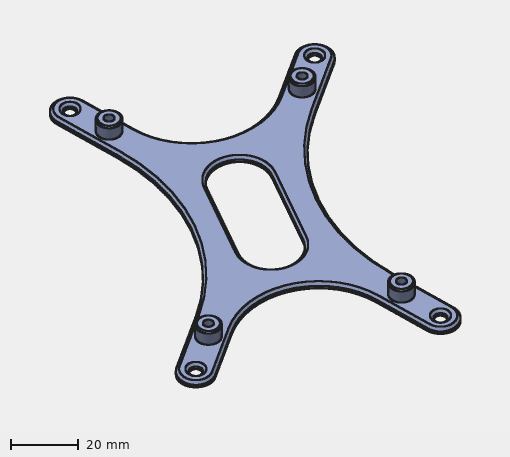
import cadquery as cq
import math

length = 132.4
width = 88.0
height = 7.0

plate_thickness = 2.0
edge_chamfer = plate_thickness / 2
arm_radius = 6.0
long_side_radius = 70.0
short_side_radius = 26.6

window_length = 50.0
window_width = 20.1

mount_hole_diameter = 4.2
mount_x = length / 2 - arm_radius
mount_y = width / 2 - arm_radius

standoff_diameter = 8.0
standoff_hole_diameter = 3.2
standoff_chamfer = 0.5
standoff_x = 47.5
standoff_y = standoff_x * mount_y / mount_x

arm_angle = math.atan2(mount_y, mount_x)


def four_corners(x, y):
    """Points mirrored about both the X and Y axes."""
    return [(sx * x, sy * y) for sx in (-1, 1) for sy in (-1, 1)]


def plate_outline():
    """Closed X-shaped outline whose arms point from the centre to the mounting holes."""
    cos_arm, sin_arm = math.cos(arm_angle), math.sin(arm_angle)

    long_center = (long_side_radius + arm_radius) / cos_arm
    short_center = (short_side_radius + arm_radius) / sin_arm

    short_tangent = (short_center - short_side_radius * sin_arm, short_side_radius * cos_arm)
    tip_start = (mount_x + arm_radius * sin_arm, mount_y - arm_radius * cos_arm)
    tip = (mount_x + arm_radius * cos_arm, mount_y + arm_radius * sin_arm)
    tip_end = (mount_x - arm_radius * sin_arm, mount_y + arm_radius * cos_arm)
    long_tangent = (long_side_radius * sin_arm, long_center - long_side_radius * cos_arm)
    arm = [short_tangent, tip_start, tip, tip_end, long_tangent]

    long_waist = long_center - long_side_radius
    short_waist = short_center - short_side_radius

    outline = cq.Workplane("XY").moveTo(*short_tangent)
    for sx, sy in [(1, 1), (-1, 1), (-1, -1), (1, -1)]:
        points = [(sx * x, sy * y) for x, y in arm]
        if sx * sy < 0:
            points.reverse()
        _, edge_start, arm_tip, edge_end, next_tangent = points
        outline = outline.lineTo(*edge_start).threePointArc(arm_tip, edge_end).lineTo(*next_tangent)
        if sx * sy > 0:
            outline = outline.threePointArc((0, sy * long_waist), (-next_tangent[0], next_tangent[1]))
        else:
            outline = outline.threePointArc((sx * short_waist, 0), (next_tangent[0], -next_tangent[1]))
    return outline.close()


def make_plate():
    """Plate with its window and mounting holes, all chamfered along the top edges."""
    plate = plate_outline().extrude(plate_thickness)
    window = cq.Workplane("XY").slot2D(window_length, window_width).extrude(plate_thickness)
    mount_holes = (
        cq.Workplane("XY")
        .pushPoints(four_corners(mount_x, mount_y))
        .circle(mount_hole_diameter / 2)
        .extrude(plate_thickness)
    )
    return plate.cut(window).cut(mount_holes).faces(">Z").edges().chamfer(edge_chamfer)


def add_standoffs(plate):
    """Add four standoffs with holes through both standoff and plate."""
    positions = four_corners(standoff_x, standoff_y)
    standoffs = (
        cq.Workplane("XY")
        .workplane(offset=plate_thickness / 2)
        .pushPoints(positions)
        .circle(standoff_diameter / 2)
        .extrude(height - plate_thickness / 2)
        .faces(">Z")
        .edges()
        .chamfer(standoff_chamfer)
    )
    holes = (
        cq.Workplane("XY")
        .pushPoints(positions)
        .circle(standoff_hole_diameter / 2)
        .extrude(height)
    )
    return plate.union(standoffs).cut(holes)


result = add_standoffs(make_plate())